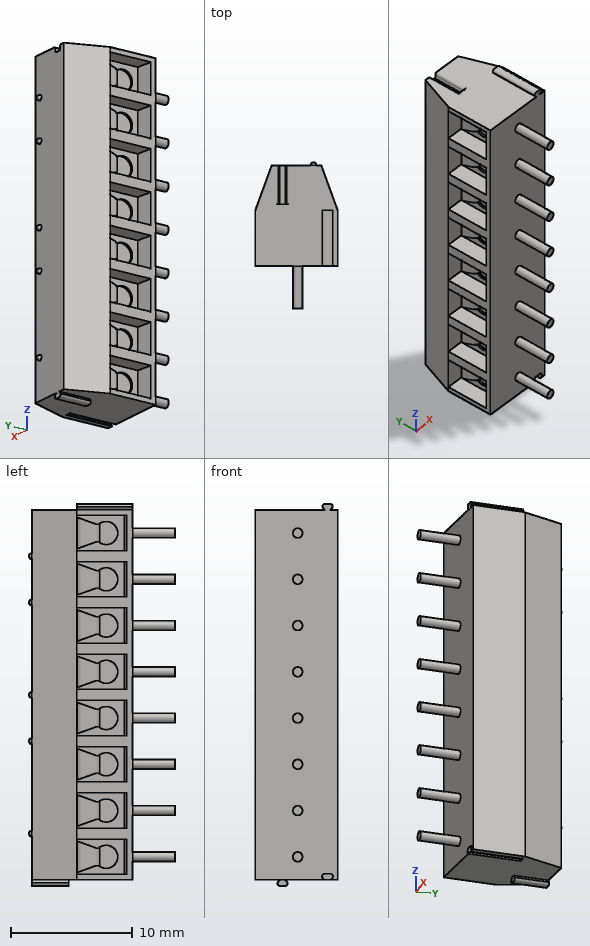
import cadquery as cq
import math


pole_count = 8
pitch = 3.81
body_width = 6.8
body_depth = 8.3
shoulder_y = 4.6
top_width = 4.1
body_center_x = -0.1
body_length = pole_count * pitch
body_bottom_z = -pitch / 2
body_top_z = body_bottom_z + body_length
body_left_x = body_center_x - body_width / 2

pin_diameter = 0.8
pin_length = 3.5
pin_embed = 1.0

pocket_height = 2.9
pocket_depth = 1.6
pocket_front_y = 0.48
pocket_floor_front_y = 0.68

recess_diameter = 1.9
recess_depth = 0.2
recess_y = shoulder_y - 2.42

guard_rise = 0.25
guard_round = guard_rise + recess_depth
guard_length = 1.9
guard_taper_length = 1.6
guard_wide_height = 2.6
guard_narrow_height = 1.45

rail_height = 0.5
rail_neck_width = 0.48
rail_widest_width = 0.88
rail_tip_width = rail_neck_width
front_rail_x = body_center_x + 2.56
front_rail_length = shoulder_y
back_rail_x = body_center_x - 1.15
back_rail_length = 3.05
front_groove_clearance = 0.03
back_groove_length = 3.2
back_groove_mouth_width = 0.95
back_groove_waist_width = 0.66
back_groove_floor_width = 0.48
back_groove_arc_bulge = 0.05

dome_radius = 0.25
dome_x = 1.3
dome_gaps = (0, 2, 3, 5, 6)


def prism_along_y(profile, start_y, end_y):
    """Extrude a closed profile drawn in X and Z from start_y to end_y."""
    return profile.extrude(start_y - end_y).translate((0, start_y, 0))


def make_body():
    half_width = body_width / 2
    half_top = top_width / 2
    return (
        cq.Workplane("XY")
        .moveTo(-half_width, 0)
        .lineTo(half_width, 0)
        .lineTo(half_width, shoulder_y)
        .lineTo(half_top, body_depth)
        .lineTo(-half_top, body_depth)
        .lineTo(-half_width, shoulder_y)
        .close()
        .extrude(body_length)
        .translate((body_center_x, 0, body_bottom_z))
    )


def make_pin(z):
    return (
        cq.Workplane("XZ", origin=(0, pin_embed, z))
        .circle(pin_diameter / 2)
        .extrude(pin_length + pin_embed)
    )


def make_pocket(z):
    """Pocket with a sloping wall on the board side and a round recess in its floor."""
    floor_x = body_left_x + pocket_depth
    pocket = (
        cq.Workplane("XY", origin=(0, 0, z))
        .moveTo(body_left_x, pocket_front_y)
        .lineTo(floor_x, pocket_floor_front_y)
        .lineTo(floor_x, shoulder_y)
        .lineTo(body_left_x, shoulder_y)
        .close()
        .extrude(pocket_height / 2, both=True)
    )
    recess = (
        cq.Workplane("YZ", origin=(floor_x, recess_y, z))
        .circle(recess_diameter / 2)
        .extrude(recess_depth)
    )
    return pocket.union(recess)


def make_guard(z):
    """Wire guard with rounded ends whose height tapers toward the recess."""
    top_x = body_left_x + pocket_depth - guard_rise
    base_x = top_x + guard_round
    end_y = shoulder_y - guard_length
    taper_end_y = shoulder_y - guard_taper_length
    half_wide = guard_wide_height / 2
    half_narrow = guard_narrow_height / 2
    outline = (
        cq.Workplane("YZ", origin=(top_x, 0, z))
        .moveTo(shoulder_y, -half_wide)
        .lineTo(taper_end_y, -half_narrow)
        .lineTo(end_y, -half_narrow)
        .lineTo(end_y, half_narrow)
        .lineTo(taper_end_y, half_narrow)
        .lineTo(shoulder_y, half_wide)
        .close()
        .extrude(guard_round)
    )
    side = (
        cq.Workplane("XY", origin=(0, 0, z))
        .moveTo(base_x, end_y)
        .radiusArc((top_x, end_y + guard_round), guard_round)
        .lineTo(top_x, shoulder_y - guard_round)
        .radiusArc((base_x, shoulder_y), guard_round)
        .close()
        .extrude(half_wide, both=True)
    )
    return outline.intersect(side)


def rail_profile(center_x, base_z, outward, clearance=0):
    """Rail section: straight sides flare from the neck, then arcs close in on a flat tip.

    The tip points up when outward is 1 and down when it is -1.
    """
    neck = rail_neck_width / 2 + clearance
    widest = rail_widest_width / 2 + clearance
    tip = rail_tip_width / 2 + clearance
    middle = outward * rail_height / 2
    end = outward * rail_height
    side_drop = widest - tip
    arc_radius = (middle**2 + side_drop**2) / (2 * side_drop)
    half_angle = math.atan2(side_drop, abs(middle))
    arc_x = widest - arc_radius * (1 - math.cos(half_angle))
    arc_z = middle + outward * arc_radius * math.sin(half_angle)
    return (
        cq.Workplane("XZ", origin=(center_x, 0, base_z))
        .moveTo(-neck, 0)
        .lineTo(-widest, middle)
        .threePointArc((-arc_x, arc_z), (-tip, end))
        .lineTo(tip, end)
        .threePointArc((arc_x, arc_z), (widest, middle))
        .lineTo(neck, 0)
        .close()
    )


def make_back_groove():
    """Groove in the top end whose sides curve in to a waist and then to the floor."""
    mouth = back_groove_mouth_width / 2
    waist = back_groove_waist_width / 2
    floor = back_groove_floor_width / 2
    waist_z = -rail_height / 2
    upper_arc_x = (mouth + waist) / 2 - back_groove_arc_bulge
    upper_arc_z = waist_z / 2 + back_groove_arc_bulge
    lower_arc_x = (waist + floor) / 2 + back_groove_arc_bulge
    lower_arc_z = (waist_z - rail_height) / 2 - back_groove_arc_bulge
    profile = (
        cq.Workplane("XZ")
        .moveTo(-mouth, 0)
        .threePointArc((-upper_arc_x, upper_arc_z), (-waist, waist_z))
        .threePointArc((-lower_arc_x, lower_arc_z), (-floor, -rail_height))
        .lineTo(floor, -rail_height)
        .threePointArc((lower_arc_x, lower_arc_z), (waist, waist_z))
        .threePointArc((upper_arc_x, upper_arc_z), (mouth, 0))
        .close()
    )
    groove = prism_along_y(profile, body_depth - back_groove_length, body_depth)
    return groove.translate((back_rail_x, 0, body_top_z))


def make_dome(gap):
    z = (gap + 0.5) * pitch
    return cq.Workplane("XY").sphere(dome_radius).translate((dome_x, body_depth, z))


result = make_body()

for pole in range(pole_count):
    pole_z = pole * pitch
    result = result.cut(make_pocket(pole_z))
    result = result.union(make_guard(pole_z))
    result = result.union(make_pin(pole_z))

front_rail = rail_profile(front_rail_x, body_top_z, 1)
result = result.union(prism_along_y(front_rail, 0, front_rail_length))

back_rail = rail_profile(back_rail_x, body_bottom_z, -1)
result = result.union(prism_along_y(back_rail, body_depth - back_rail_length, body_depth))

front_groove = rail_profile(front_rail_x, body_bottom_z, 1, front_groove_clearance)
result = result.cut(prism_along_y(front_groove, 0, front_rail_length))
result = result.cut(make_back_groove())

for dome_gap in dome_gaps:
    result = result.union(make_dome(dome_gap))